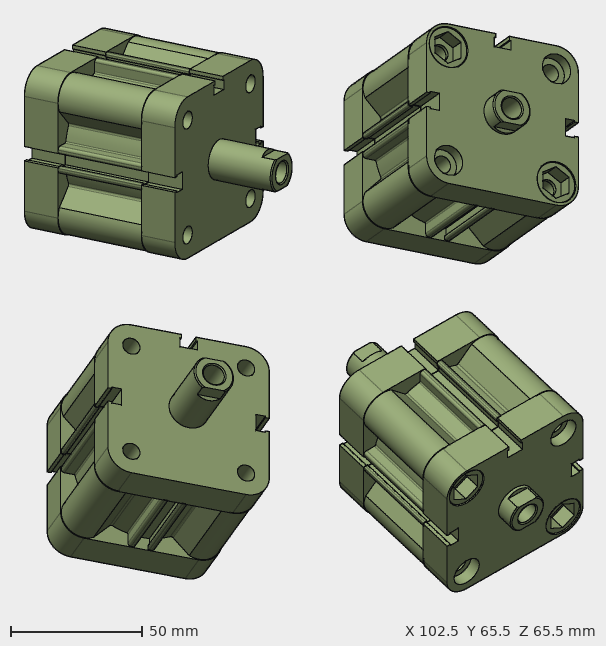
import cadquery as cq
import math


cap_width = 65.5
cap_half = cap_width / 2
cap_length = 14.9
barrel_length = 37.0
housing_length = 2 * cap_length + barrel_length
barrel_start = cap_length
barrel_end = cap_length + barrel_length
barrel_inset = 0.3
barrel_half = cap_half - barrel_inset

bolt_offset = 23.3
bolt_hole_diameter = 7.0
counterbore_diameter = 12.1
counterbore_depth = 5.0
corner_radius = cap_half - bolt_offset
web_end_radius = corner_radius - barrel_inset
web_width = 17.2
web_root_fillet = 1.0
tube_radius = 27.5

rail_width = 10.9
rail_edge_fillet = 1.2
rail_root_fillet = 0.6
slot_lip_fillet = 0.6
barrel_slot_opening = 5.2
barrel_slot_width = 6.5
slot_lip_height = 1.6
cap_slot_depth = 5.5
barrel_slot_depth = cap_slot_depth - 2 * barrel_inset
cap_slot_opening = barrel_slot_opening + 2 * barrel_inset
cap_slot_width = barrel_slot_width + 2 * barrel_inset
slot_cutter_top = cap_half + 1
BARREL_SLOT_ANGLES = (0, 90, 180, 270)
CAP_SLOT_ANGLES = (0, 90, 270)

collar_diameter = 16.2
collar_recess_diameter = 16.6
collar_face_depth = 0.5
collar_length = 8.2
socket_width = 11.3
socket_depth = 6.6

rod_diameter = 16.0
rod_length = 102.5
rod_left_end = -7.8
rod_right_end = rod_left_end + rod_length
rod_chamfer = 0.5
flat_width = 13.0
flat_length = 6.0
flat_end_slope = 15
thread_hole_diameter = 8.5
thread_hole_depth = 20.5
thread_hole_chamfer = 0.5
drill_tip_angle = 118

TOLERANCE = 0.01


def section_plane(x):
    """Plane across the rod axis at x: local x is +Y, local y is +Z and the normal is +X."""
    return cq.Workplane("YZ", origin=(x, 0, 0))


def cylinder(x, length, diameter, y=0, z=0):
    return section_plane(x).center(y, z).circle(diameter / 2).extrude(length)


def corner_points():
    return [(y, z) for y in (-bolt_offset, bolt_offset) for z in (-bolt_offset, bolt_offset)]


def collar_points():
    return [(bolt_offset, bolt_offset), (-bolt_offset, -bolt_offset)]


def t_slot(x, length, top, opening, width, depth):
    """Cutter for a T-slot in the +Z side whose outer surface lies at height `top`."""
    lip_bottom = top - slot_lip_height
    floor = top - depth
    outline = [
        (-opening / 2, slot_cutter_top),
        (-opening / 2, lip_bottom),
        (-width / 2, lip_bottom),
        (-width / 2, floor),
        (width / 2, floor),
        (width / 2, lip_bottom),
        (opening / 2, lip_bottom),
        (opening / 2, slot_cutter_top),
    ]
    return section_plane(x).polyline(outline).close().extrude(length)


def turned(shape, angle):
    """The shape turned about the rod axis."""
    return shape.rotate((0, 0, 0), (1, 0, 0), angle)


def make_end_cap(x):
    cap = section_plane(x).rect(cap_width, cap_width).extrude(cap_length)
    cap = cap.edges("|X").fillet(corner_radius)
    slot = t_slot(x, cap_length, cap_half, cap_slot_opening, cap_slot_width, cap_slot_depth)
    for angle in CAP_SLOT_ANGLES:
        cap = cap.cut(turned(slot, angle))
    return cap


def is_slot_mouth(edge):
    """True for an upper edge of the slot opening in the +Z rail."""
    return abs(abs(edge.Center().y) - barrel_slot_opening / 2) < TOLERANCE


def make_slot_rail():
    """Rail along the +Z side of the barrel with rounded lips and a T-slot."""
    rail = (
        section_plane(barrel_start)
        .center(0, barrel_half / 2)
        .rect(rail_width, barrel_half)
        .extrude(barrel_length)
        .edges("|X and >Z")
        .fillet(rail_edge_fillet)
    )
    slot = t_slot(
        barrel_start, barrel_length, barrel_half, barrel_slot_opening, barrel_slot_width, barrel_slot_depth
    )
    return rail.cut(slot).edges("|X and >Z").filter(is_slot_mouth).fillet(slot_lip_fillet)


def is_on_tube(edge):
    """True for an edge along X that lies on the outside of the barrel tube."""
    center = edge.Center()
    return edge.geomType() == "LINE" and abs(math.hypot(center.y, center.z) - tube_radius) < TOLERANCE


def is_rail_root(edge):
    """True for an edge where the side of a slot rail meets the tube."""
    center = edge.Center()
    sideways = min(abs(center.y), abs(center.z))
    return is_on_tube(edge) and abs(sideways - rail_width / 2) < TOLERANCE


def is_web_root(edge):
    """True for an edge where the side of a corner web meets the tube."""
    center = edge.Center()
    sideways = abs(abs(center.y) - abs(center.z)) / math.sqrt(2)
    return is_on_tube(edge) and abs(sideways - web_width / 2) < TOLERANCE


def make_web():
    """Web through the rod axis along Z, with ends rounded about the bolt holes."""
    half_width = web_width / 2
    bolt_distance = math.hypot(bolt_offset, bolt_offset)
    side_end = bolt_distance + math.sqrt(web_end_radius**2 - half_width**2)
    web_end = bolt_distance + web_end_radius
    return (
        section_plane(barrel_start)
        .moveTo(-half_width, -side_end)
        .lineTo(-half_width, side_end)
        .threePointArc((0, web_end), (half_width, side_end))
        .lineTo(half_width, -side_end)
        .threePointArc((0, -web_end), (-half_width, -side_end))
        .close()
        .extrude(barrel_length)
    )


def make_barrel():
    barrel = cylinder(barrel_start, barrel_length, 2 * tube_radius)
    web = make_web()
    for angle in (45, 135):
        barrel = barrel.union(turned(web, angle))
    rail = make_slot_rail()
    for angle in BARREL_SLOT_ANGLES:
        barrel = barrel.union(turned(rail, angle))
    barrel = barrel.edges("|X").filter(is_rail_root).fillet(rail_root_fillet)
    return barrel.edges("|X").filter(is_web_root).fillet(web_root_fillet)


def make_housing():
    housing = make_end_cap(0).union(make_barrel()).union(make_end_cap(barrel_end))
    housing = housing.cut(cylinder(0, housing_length, rod_diameter))
    for y, z in corner_points():
        housing = housing.cut(cylinder(0, housing_length, bolt_hole_diameter, y, z))
        if (y, z) in collar_points():
            recess = cylinder(0, collar_face_depth + collar_length, collar_recess_diameter, y, z)
        else:
            recess = cylinder(0, counterbore_depth, counterbore_diameter, y, z)
        housing = housing.cut(recess)
    return housing


def make_collar(y, z):
    """Socket collar with two of the hexagon's corners pointing along Z."""
    collar = cylinder(collar_face_depth, collar_length, collar_diameter, y, z)
    across_corners = socket_width / math.cos(math.pi / 6)
    socket = (
        section_plane(collar_face_depth)
        .center(y, z)
        .transformed(rotate=(0, 0, 90))
        .polygon(6, across_corners)
        .extrude(socket_depth)
    )
    return collar.cut(socket).cut(cylinder(collar_face_depth, collar_length, bolt_hole_diameter, y, z))


def make_thread_hole():
    """Cutter for the chamfered blind hole in the left end of the rod, as a turned half section."""
    radius = thread_hole_diameter / 2
    tip_length = radius / math.tan(math.radians(drill_tip_angle / 2))
    hole_end = rod_left_end + thread_hole_depth
    half_section = [
        (rod_left_end, 0),
        (rod_left_end, radius + thread_hole_chamfer),
        (rod_left_end + thread_hole_chamfer, radius),
        (hole_end, radius),
        (hole_end + tip_length, 0),
    ]
    return cq.Workplane("XY").polyline(half_section).close().revolve(360, (0, 0, 0), (1, 0, 0))


def make_flat_cutter():
    """Cutter for the upper wrench flat at the left end of the rod, with a sloping wall behind it."""
    flat_height = flat_width / 2
    flat_end = rod_left_end + flat_length
    cutter_top = rod_diameter
    wall_top = flat_end + (cutter_top - flat_height) * math.tan(math.radians(flat_end_slope))
    outline = [
        (rod_left_end, flat_height),
        (flat_end, flat_height),
        (wall_top, cutter_top),
        (rod_left_end, cutter_top),
    ]
    return cq.Workplane("XZ").polyline(outline).close().extrude(rod_diameter / 2, both=True)


def make_rod():
    """Rod with the same flats and threaded hole at both ends."""
    rod = cylinder(rod_left_end, rod_length, rod_diameter).faces("<X or >X").chamfer(rod_chamfer)
    rod_middle = (rod_left_end + rod_right_end) / 2
    flat = make_flat_cutter()
    for cutter in (flat, turned(flat, 180), make_thread_hole()):
        rod = rod.cut(cutter).cut(cutter.mirror("YZ", (rod_middle, 0, 0)))
    return rod


housing = make_housing()
rod = make_rod()
collars = [make_collar(y, z) for y, z in collar_points()]

result = cq.Compound.makeCompound([housing.val(), rod.val(), *[collar.val() for collar in collars]])